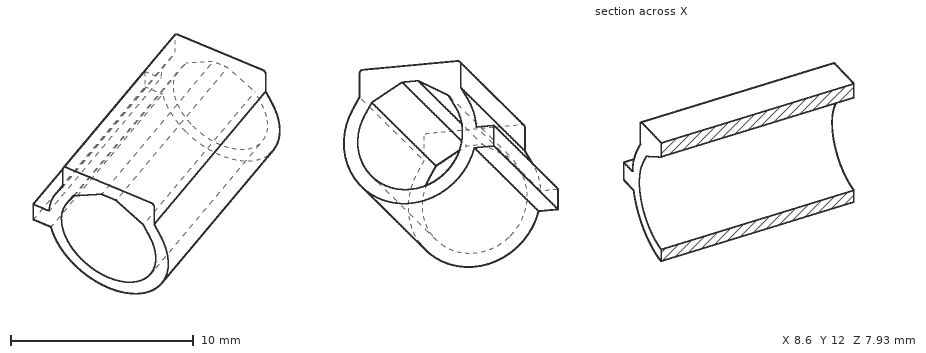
import cadquery as cq
import math

length = 12.0
bore_radius = 3.0
outer_radius = 3.8
tangent_angle = math.radians(30)
block_width = 5.8
block_top = 4.13
block_corner_radius = 0.2
bore_roof_height = 3.2
tab_reach = 4.8
tab_top = 0.23
tab_bottom = -0.95


def extrude_centred(sketch):
    """Extrude an XZ profile along Y, centred on the origin."""
    return sketch.extrude(length / 2, both=True)


def height_on_tangent(radius, x):
    """Height at x of the line that touches the circle at the tangent angle."""
    return (radius - x * math.cos(tangent_angle)) / math.sin(tangent_angle)


def tangent_point(radius):
    return radius * math.cos(tangent_angle), radius * math.sin(tangent_angle)


def make_body():
    """Round lower wall, tangent shoulders and the rectangular block on top."""
    half_width = block_width / 2
    touch_x, touch_z = tangent_point(outer_radius)
    shoulder_z = height_on_tangent(outer_radius, half_width)
    profile = (
        cq.Workplane("XZ")
        .moveTo(touch_x, touch_z)
        .lineTo(half_width, shoulder_z)
        .lineTo(half_width, block_top)
        .lineTo(-half_width, block_top)
        .lineTo(-half_width, shoulder_z)
        .lineTo(-touch_x, touch_z)
        .threePointArc((0, -outer_radius), (touch_x, touch_z))
        .close()
    )
    body = extrude_centred(profile)
    return body.faces(">Z").edges("|Y").fillet(block_corner_radius)


def make_tab():
    """Rectangular rail along the -X side, reaching in to the axis."""
    profile = cq.Workplane("XZ").moveTo(-tab_reach, tab_bottom).lineTo(0, tab_bottom)
    profile = profile.lineTo(0, tab_top).lineTo(-tab_reach, tab_top).close()
    return extrude_centred(profile)


def make_bore():
    """Round bore whose upper part is faceted by tangent flats and a flat roof."""
    touch_x, touch_z = tangent_point(bore_radius)
    corner = bore_radius / (math.cos(tangent_angle) + math.sin(tangent_angle))
    roof_half_width = height_on_tangent(bore_radius, bore_roof_height)
    profile = (
        cq.Workplane("XZ")
        .moveTo(touch_x, touch_z)
        .lineTo(corner, corner)
        .lineTo(roof_half_width, bore_roof_height)
        .lineTo(-roof_half_width, bore_roof_height)
        .lineTo(-corner, corner)
        .lineTo(-touch_x, touch_z)
        .threePointArc((0, -bore_radius), (touch_x, touch_z))
        .close()
    )
    return extrude_centred(profile)


result = make_body().union(make_tab()).cut(make_bore())